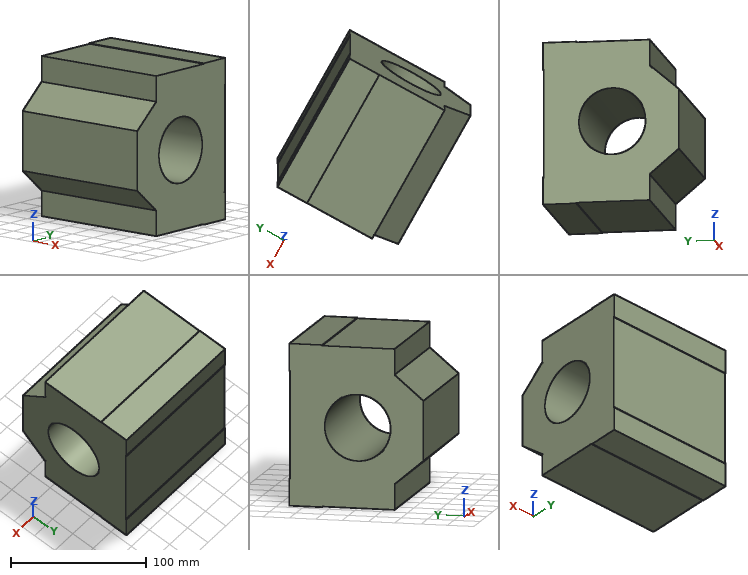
import cadquery as cq

length = 110.0
depth = 102.0
height = 122.0
bore_diameter = 50.0

front_y = -50.0
back_y = front_y + depth
nose_depth = 22.0
shoulder_y = front_y + nose_depth

half_height = height / 2
nose_tip_half_height = 22.6
nose_root_half_height = 41.1

pad_step = 0.5
pad_depth = 25.0
back_recess_half_height = 40.5
pad_front_y = back_y - pad_depth
body_half_height = half_height - pad_step

upper_profile = [
    (front_y, nose_tip_half_height),
    (shoulder_y, nose_root_half_height),
    (shoulder_y, body_half_height),
    (pad_front_y, body_half_height),
    (pad_front_y, half_height),
    (back_y, half_height),
    (back_y, back_recess_half_height),
    (back_y - pad_step, back_recess_half_height),
]
lower_profile = [(y, -z) for y, z in reversed(upper_profile)]

housing = (
    cq.Workplane("YZ")
    .polyline(upper_profile + lower_profile)
    .close()
    .extrude(length / 2, both=True)
)

bore = cq.Workplane("YZ").circle(bore_diameter / 2).extrude(length / 2, both=True)
result = housing.cut(bore)